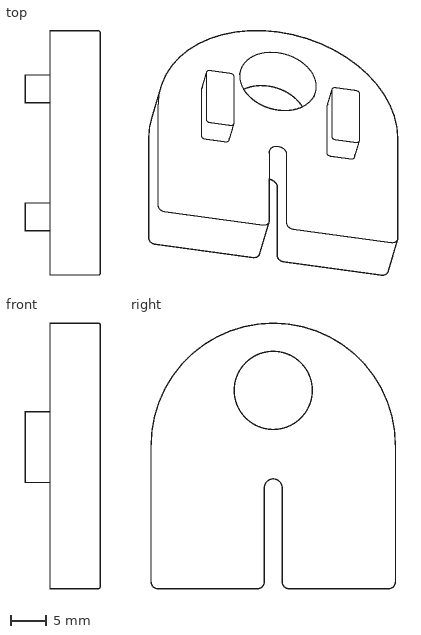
import cadquery as cq

PLATE_THICKNESS = 7.1
PLATE_WIDTH = 34.5
PLATE_HEIGHT = 37.5
ARCH_RADIUS = PLATE_WIDTH / 2
ARCH_CENTER_Z = PLATE_HEIGHT - ARCH_RADIUS
FOOT_CORNER_RADIUS = 1.0
BACK_EDGE_RADIUS = 0.3

HOLE_DIAMETER = 11.0
HOLE_CENTER_Z = 28.0

SLOT_WIDTH = 2.5
SLOT_TOP_Z = 15.5
SLOT_END_RADIUS = SLOT_WIDTH / 2
SLOT_END_CENTER_Z = SLOT_TOP_Z - SLOT_END_RADIUS

PEG_LENGTH = 3.5
PEG_WIDTH = 3.95
PEG_HEIGHT = 10.0
PEG_OUTER_Y = 11.0
PEG_OFFSET_Y = PEG_OUTER_Y - PEG_WIDTH / 2
PEG_CENTER_Z = 20.0
PEG_CORNER_RADIUS = 0.5


def make_slot_cutter():
    """Slot running through the plate, closed at the top by a half round."""
    return (
        cq.Workplane("YZ")
        .moveTo(-SLOT_END_RADIUS, 0)
        .lineTo(SLOT_END_RADIUS, 0)
        .lineTo(SLOT_END_RADIUS, SLOT_END_CENTER_Z)
        .threePointArc((0, SLOT_TOP_Z), (-SLOT_END_RADIUS, SLOT_END_CENTER_Z))
        .close()
        .extrude(PLATE_THICKNESS)
    )


def make_plate():
    """Arched plate with its slot, rounded foot corners and rounded back edge."""
    plate = (
        cq.Workplane("YZ")
        .moveTo(-ARCH_RADIUS, 0)
        .lineTo(ARCH_RADIUS, 0)
        .lineTo(ARCH_RADIUS, ARCH_CENTER_Z)
        .threePointArc((0, PLATE_HEIGHT), (-ARCH_RADIUS, ARCH_CENTER_Z))
        .close()
        .extrude(PLATE_THICKNESS)
        .cut(make_slot_cutter())
        .edges("|X and <Z")
        .fillet(FOOT_CORNER_RADIUS)
    )
    return plate.faces(">X").edges().fillet(BACK_EDGE_RADIUS)


def make_hole_cutter():
    """Cylinder along X for the round through hole."""
    return (
        cq.Workplane("YZ")
        .center(0, HOLE_CENTER_Z)
        .circle(HOLE_DIAMETER / 2)
        .extrude(PLATE_THICKNESS)
    )


def make_peg(center_y):
    """Rectangular peg with rounded long edges, standing on the front face."""
    return (
        cq.Workplane("YZ")
        .center(center_y, PEG_CENTER_Z)
        .rect(PEG_WIDTH, PEG_HEIGHT)
        .extrude(-PEG_LENGTH)
        .edges("|X")
        .fillet(PEG_CORNER_RADIUS)
    )


result = make_plate().cut(make_hole_cutter())
for side in (-1, 1):
    result = result.union(make_peg(side * PEG_OFFSET_Y))